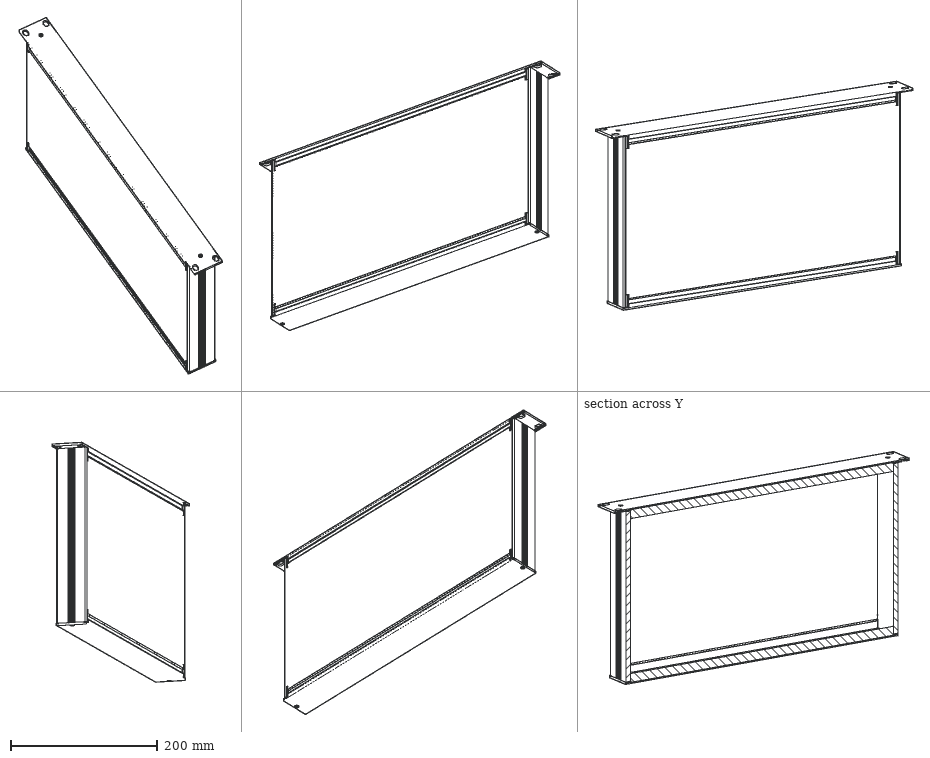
import cadquery as cq

LENGTH = 482.0
HEIGHT = 44.0
DEPTH = 249.5

PANEL_THICKNESS = 3.5
PANEL_EDGE_RADIUS = 1.4
TONGUE_GROOVE_DEPTH = 1.0
LIP_LENGTH = 429.0
LIP_REACH = 8.0
RACK_SLOT_LENGTH = 10.0
RACK_SLOT_WIDTH = 6.7
RACK_SLOT_SPACING_X = 464.7
RACK_SLOT_SPACING_Y = 32.0

BODY_WIDTH = 445.0
BODY_HEIGHT = 43.5
RAIL_CHAMFER = 2.0
GROOVE_COUNT = 4
GROOVE_WIDTH = 1.5
GROOVE_PITCH = 2 * GROOVE_WIDTH
GROOVE_DEPTH = 1.0

COVER_WIDTH = 438.5
COVER_THICKNESS = 2.0
TONGUE_DROP = 1.35
TONGUE_REACH = 13.5
STEP_RUN = 2.2
SLIT_WIDTH = 2.5
SLIT_END = 21.0

SCREW_SPACING = 437.0
SCREW_HEAD_DIAMETER = 6.0
SCREW_HEAD_HEIGHT = 2.0
SCREW_SHANK_DIAMETER = 3.0
SCREW_LENGTH = 11.5
SOCKET_WIDTH = 3.5
SOCKET_DEPTH = 1.5

FRONT_Z = DEPTH / 2
INNER_Z = FRONT_Z - PANEL_THICKNESS
COVER_Y = BODY_HEIGHT / 2
TONGUE_Y = COVER_Y - TONGUE_DROP
RAIL_OUTER_X = BODY_WIDTH / 2
RAIL_INNER_X = LIP_LENGTH / 2
TONGUE_END_Z = INNER_Z + TONGUE_GROOVE_DEPTH
MIRRORED = (1, -1)


def centred_box(size_x, size_y, z_low, z_high):
    """Box centred on the Z axis, between two heights."""
    return (
        cq.Workplane("XY")
        .workplane(offset=z_low)
        .rect(size_x, size_y)
        .extrude(z_high - z_low)
    )


def screw_blank():
    """Countersunk screw without its socket, head flush with the front panel face."""
    head_radius = SCREW_HEAD_DIAMETER / 2
    shank_radius = SCREW_SHANK_DIAMETER / 2
    head_bottom = FRONT_Z - SCREW_HEAD_HEIGHT
    tip = FRONT_Z - SCREW_LENGTH
    return (
        cq.Workplane("XZ")
        .moveTo(0, tip)
        .lineTo(shank_radius, tip)
        .lineTo(shank_radius, head_bottom)
        .lineTo(head_radius, FRONT_Z)
        .lineTo(0, FRONT_Z)
        .close()
        .revolve(360, (0, 0, 0), (0, 1, 0))
    )


def screw_places(body):
    """Copies of a front screw shape at both screw positions."""
    return [body.translate((side * SCREW_SPACING / 2, 0, 0)) for side in MIRRORED]


def drilled_for_screws(body):
    for screw in screw_places(screw_blank()):
        body = body.cut(screw)
    return body


def flipped_to_rear(body):
    return body.mirror("XY")


def panel(width):
    """Panel in the front position: plate with rounded long edges, inward lips and tongue grooves."""
    plate = centred_box(width, HEIGHT, INNER_Z, FRONT_Z)
    plate = plate.faces(">Z").edges("|X").fillet(PANEL_EDGE_RADIUS)
    lips = centred_box(LIP_LENGTH, HEIGHT, FRONT_Z - LIP_REACH, INNER_Z)
    lips = lips.cut(centred_box(LIP_LENGTH, 2 * TONGUE_Y, FRONT_Z - LIP_REACH, INNER_Z))
    body = plate.union(lips)
    for side in MIRRORED:
        groove_y = side * (TONGUE_Y - COVER_THICKNESS / 2)
        groove = centred_box(width, COVER_THICKNESS, INNER_Z, TONGUE_END_Z)
        body = body.cut(groove.translate((0, groove_y, 0)))
    return drilled_for_screws(body)


def rack_panel():
    """Front panel with mounting slots in its ears."""
    slots = (
        cq.Workplane("XY")
        .workplane(offset=INNER_Z)
        .rarray(RACK_SLOT_SPACING_X, RACK_SLOT_SPACING_Y, 2, 2)
        .slot2D(RACK_SLOT_LENGTH, RACK_SLOT_WIDTH)
        .extrude(PANEL_THICKNESS)
    )
    return panel(LENGTH).cut(slots)


def rear_panel():
    return flipped_to_rear(panel(BODY_WIDTH))


def side_rail():
    """Rail on the +X side: chamfered corners, cover ledges and a grooved outer face."""
    rail_width = RAIL_OUTER_X - RAIL_INNER_X
    rail_x = (RAIL_OUTER_X + RAIL_INNER_X) / 2
    rail = cq.Workplane("XY").box(rail_width, BODY_HEIGHT, 2 * INNER_Z).translate((rail_x, 0, 0))
    rail = rail.faces(">X").edges("|Z").chamfer(RAIL_CHAMFER)
    for side in MIRRORED:
        seat_y = side * (COVER_Y - COVER_THICKNESS / 2)
        seat = cq.Workplane("XY").box(COVER_WIDTH, COVER_THICKNESS, DEPTH).translate((0, seat_y, 0))
        rail = rail.cut(seat)
    grooves = (
        cq.Workplane("XY")
        .workplane(offset=-INNER_Z)
        .center(RAIL_OUTER_X, 0)
        .rarray(5, GROOVE_PITCH, 1, GROOVE_COUNT)
        .rect(2 * GROOVE_DEPTH, GROOVE_WIDTH)
        .extrude(2 * INNER_Z)
    )
    rail = drilled_for_screws(rail.cut(grooves))
    return flipped_to_rear(drilled_for_screws(flipped_to_rear(rail)))


def cover():
    """Cover on the -Y side: flat sheet whose ends step down into tongues under the lips."""
    step_foot = FRONT_Z - TONGUE_REACH
    step_top = step_foot - STEP_RUN
    slit_end = FRONT_Z - SLIT_END

    outer_line = [
        (-COVER_Y, -step_top),
        (-COVER_Y, step_top),
        (-TONGUE_Y, step_foot),
        (-TONGUE_Y, TONGUE_END_Z),
    ]
    inner_line = [(y + COVER_THICKNESS, z) for y, z in outer_line]
    tongue_tail = [(-TONGUE_Y, -TONGUE_END_Z), (-TONGUE_Y, -step_foot)]
    inner_tail = [(y + COVER_THICKNESS, z) for y, z in tongue_tail]
    section = tongue_tail + outer_line + inner_line[::-1] + inner_tail[::-1]
    stepped_sheet = (
        cq.Workplane("YZ")
        .polyline(section)
        .close()
        .extrude(LIP_LENGTH / 2, both=True)
    )

    sheet_y = -COVER_Y + COVER_THICKNESS / 2
    margins = cq.Workplane("XY").box(COVER_WIDTH, COVER_THICKNESS, 2 * INNER_Z)
    slit_opening = LIP_LENGTH + 2 * SLIT_WIDTH
    for end in MIRRORED:
        opening_length = INNER_Z - slit_end
        opening_z = end * (INNER_Z + slit_end) / 2
        opening = cq.Workplane("XY").box(slit_opening, COVER_THICKNESS, opening_length)
        margins = margins.cut(opening.translate((0, 0, opening_z)))
    return stepped_sheet.union(margins.translate((0, sheet_y, 0)))


def front_screw():
    """Countersunk screw with a hexagon socket."""
    socket = (
        cq.Workplane("XY")
        .workplane(offset=FRONT_Z - SOCKET_DEPTH)
        .polygon(6, SOCKET_WIDTH)
        .extrude(SOCKET_DEPTH)
    )
    return screw_blank().cut(socket)


front = rack_panel()
rear = rear_panel()
rails = [side_rail(), side_rail().mirror("YZ")]
covers = [cover(), cover().mirror("XZ")]
front_screws = screw_places(front_screw())
rear_screws = [flipped_to_rear(screw) for screw in front_screws]

bodies = [front, rear, *rails, *covers, *front_screws, *rear_screws]
result = cq.Compound.makeCompound([body.val() for body in bodies])